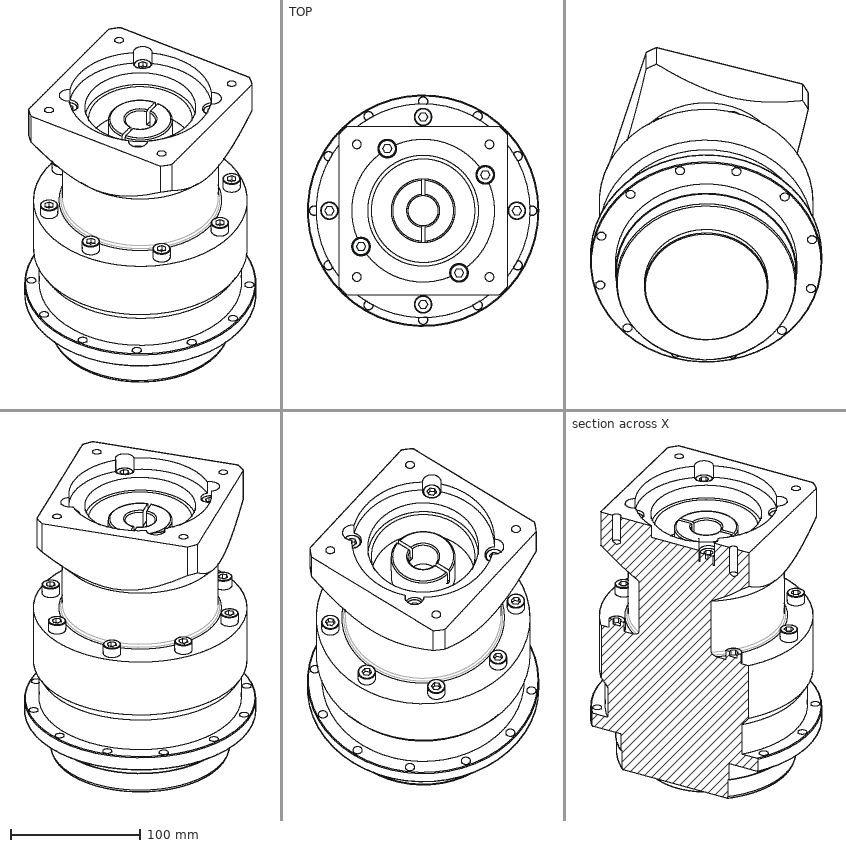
import cadquery as cq
import math

TOTAL_HEIGHT = 233.0
FOOT_RADIUS = 47.8
FOOT_EDGE = 0.7
PILOT_BASE = 6.0
PILOT_RADIUS = 69.5
PILOT_EDGE = 2.0
PILOT_EDGE_DEPTH = 0.7
SPIGOT_BASE = 23.3
SPIGOT_RADIUS = 70.1
FLANGE_BASE = 37.7
FLANGE_TOP = 49.9
FLANGE_RADIUS = 89.5
FLANGE_EDGE = 0.7
RING_GEAR_RADIUS = 78.3
RING_GEAR_TOP = 76.5
BODY_RADIUS = 82.7
BODY_BASE = 83.6
BODY_TOP = 131.2
NECK_FILLET_RADIUS = 2.3
NECK_FILLET_TOP = 134.0
NECK_FILLET_SWEEP = 60.0
NECK_SKIRT_RADIUS = 63.0
NECK_RADIUS = 60.3
NECK_TOP = 179.9

ADAPTER_SIDE = 130.5
ADAPTER_RADIUS = 87.8
ADAPTER_CONE_TOP = NECK_TOP + (ADAPTER_RADIUS - NECK_RADIUS)

RECESS_RADIUS = 55.2
RECESS_FLOOR = 222.7
BORE_RADIUS = 42.9
BORE_LEDGE = 211.3
WELL_RADIUS = 40.0
WELL_FLOOR = 185.5

HUB_RADIUS = 24.7
HUB_TOP = 211.0
HUB_EDGE = 1.2
HUB_BORE_RADIUS = 11.6
HUB_SLIT_WIDTH = 2.8
HUB_SLIT_DEPTH = 14.0

FLANGE_HOLE_COUNT = 12
FLANGE_HOLE_CIRCLE = 84.3
FLANGE_HOLE_RADIUS = 3.5
MOTOR_HOLE_SPACING = 102.5
MOTOR_HOLE_RADIUS = 3.38
MOTOR_HOLE_DEPTH = 23.3
DRILL_TIP_ANGLE = 118.0

HEAD_RADIUS = 6.8
HEAD_HEIGHT = 8.2
HEAD_EDGE = 0.5
SOCKET_ACROSS_CORNERS = 7.2
SOCKET_DEPTH = 4.2
BODY_SCREW_COUNT = 8
BODY_SCREW_CIRCLE = 72.5
ADAPTER_SCREW_COUNT = 4
ADAPTER_SCREW_CIRCLE = 55.5
ADAPTER_SCREW_START = 30.0
ADAPTER_SCREW_TOP = 221.0
SCREW_POCKET_RADIUS = 7.2


def disc(radius, base, top):
    """Upright cylinder on the main axis."""
    return cq.Workplane("XY").workplane(offset=base).circle(radius).extrude(top - base)


def turn(profile):
    """Solid of revolution about Z from (radius, height) points."""
    return cq.Workplane("XZ").polyline(profile).close().revolve(360, (0, 0), (0, 1))


def ring_points(count, radius, start=0.0):
    """Evenly spaced points on a circle, the first at the start angle in degrees."""
    angles = [math.radians(start + 360.0 * i / count) for i in range(count)]
    return [(radius * math.cos(a), radius * math.sin(a)) for a in angles]


def neck_fillet_point(angle):
    """Point on the concave fillet, at an angle in degrees below its top."""
    angle = math.radians(angle)
    return (
        NECK_RADIUS + NECK_FILLET_RADIUS * (1 - math.cos(angle)),
        NECK_FILLET_TOP - NECK_FILLET_RADIUS * math.sin(angle),
    )


def make_housing():
    outline_below_fillet = [
        (0, 0),
        (FOOT_RADIUS - FOOT_EDGE, 0),
        (FOOT_RADIUS, FOOT_EDGE),
        (FOOT_RADIUS, PILOT_BASE),
        (PILOT_RADIUS - PILOT_EDGE_DEPTH, PILOT_BASE),
        (PILOT_RADIUS, PILOT_BASE + PILOT_EDGE),
        (PILOT_RADIUS, SPIGOT_BASE),
        (SPIGOT_RADIUS, SPIGOT_BASE),
        (SPIGOT_RADIUS, FLANGE_BASE),
        (FLANGE_RADIUS - FLANGE_EDGE, FLANGE_BASE),
        (FLANGE_RADIUS, FLANGE_BASE + FLANGE_EDGE),
        (FLANGE_RADIUS, FLANGE_TOP - FLANGE_EDGE),
        (FLANGE_RADIUS - FLANGE_EDGE, FLANGE_TOP),
        (RING_GEAR_RADIUS, FLANGE_TOP),
        (RING_GEAR_RADIUS, RING_GEAR_TOP),
        (BODY_RADIUS, BODY_BASE),
        (BODY_RADIUS, BODY_TOP),
        (NECK_SKIRT_RADIUS, BODY_TOP),
        neck_fillet_point(NECK_FILLET_SWEEP),
    ]
    profile = (
        cq.Workplane("XZ")
        .polyline(outline_below_fillet)
        .threePointArc(neck_fillet_point(NECK_FILLET_SWEEP / 2), neck_fillet_point(0))
        .lineTo(NECK_RADIUS, NECK_TOP)
        .lineTo(0, NECK_TOP)
        .close()
    )
    return profile.revolve(360, (0, 0), (0, 1))


def make_adapter():
    blank = turn([
        (0, NECK_TOP),
        (NECK_RADIUS, NECK_TOP),
        (ADAPTER_RADIUS, ADAPTER_CONE_TOP),
        (ADAPTER_RADIUS, TOTAL_HEIGHT),
        (0, TOTAL_HEIGHT),
    ])
    square = cq.Workplane("XY").rect(ADAPTER_SIDE, ADAPTER_SIDE).extrude(TOTAL_HEIGHT)
    return blank.intersect(square)


def make_recess():
    recess = disc(RECESS_RADIUS, RECESS_FLOOR, TOTAL_HEIGHT)
    bore = disc(BORE_RADIUS, BORE_LEDGE, TOTAL_HEIGHT)
    well = disc(WELL_RADIUS, WELL_FLOOR, TOTAL_HEIGHT)
    return recess.union(bore).union(well)


def make_hub():
    hub = turn([
        (HUB_BORE_RADIUS, WELL_FLOOR),
        (HUB_RADIUS, WELL_FLOOR),
        (HUB_RADIUS, HUB_TOP - HUB_EDGE),
        (HUB_RADIUS - HUB_EDGE, HUB_TOP),
        (HUB_BORE_RADIUS + HUB_EDGE, HUB_TOP),
        (HUB_BORE_RADIUS, HUB_TOP - HUB_EDGE),
    ])
    slit = (
        cq.Workplane("XY")
        .workplane(offset=HUB_TOP - HUB_SLIT_DEPTH)
        .rect(HUB_SLIT_WIDTH, 2 * HUB_RADIUS)
        .extrude(HUB_SLIT_DEPTH)
    )
    return hub.cut(slit)


def make_screw_heads(points, base):
    heads = (
        cq.Workplane("XY")
        .workplane(offset=base)
        .pushPoints(points)
        .circle(HEAD_RADIUS)
        .extrude(HEAD_HEIGHT)
        .faces(">Z")
        .chamfer(HEAD_EDGE)
    )
    sockets = (
        cq.Workplane("XY")
        .workplane(offset=base + HEAD_HEIGHT - SOCKET_DEPTH)
        .pushPoints(points)
        .polygon(6, SOCKET_ACROSS_CORNERS)
        .extrude(SOCKET_DEPTH)
    )
    return heads.cut(sockets)


def make_flange_holes():
    points = ring_points(FLANGE_HOLE_COUNT, FLANGE_HOLE_CIRCLE)
    return (
        cq.Workplane("XY")
        .workplane(offset=FLANGE_BASE)
        .pushPoints(points)
        .circle(FLANGE_HOLE_RADIUS)
        .extrude(FLANGE_TOP - FLANGE_BASE)
    )


def make_motor_holes():
    """Blind drilled holes with conical tips at the adapter corners."""
    tip_height = MOTOR_HOLE_RADIUS / math.tan(math.radians(DRILL_TIP_ANGLE / 2))
    shoulder = TOTAL_HEIGHT - MOTOR_HOLE_DEPTH
    drill = turn([
        (0, shoulder - tip_height),
        (MOTOR_HOLE_RADIUS, shoulder),
        (MOTOR_HOLE_RADIUS, TOTAL_HEIGHT),
        (0, TOTAL_HEIGHT),
    ])
    return (
        cq.Workplane("XY")
        .rect(MOTOR_HOLE_SPACING, MOTOR_HOLE_SPACING, forConstruction=True)
        .vertices()
        .eachpoint(lambda place: drill.val().moved(place), combine=False)
    )


body_screws = ring_points(BODY_SCREW_COUNT, BODY_SCREW_CIRCLE)
adapter_screws = ring_points(ADAPTER_SCREW_COUNT, ADAPTER_SCREW_CIRCLE, ADAPTER_SCREW_START)
adapter_screw_seat = ADAPTER_SCREW_TOP - HEAD_HEIGHT
screw_pockets = (
    cq.Workplane("XY")
    .workplane(offset=adapter_screw_seat)
    .pushPoints(adapter_screws)
    .circle(SCREW_POCKET_RADIUS)
    .extrude(TOTAL_HEIGHT - adapter_screw_seat)
)

result = make_housing().union(make_adapter())
result = result.cut(make_recess()).cut(screw_pockets)
result = result.cut(make_flange_holes()).cut(make_motor_holes())
result = result.union(make_hub())
result = result.union(make_screw_heads(body_screws, BODY_TOP))
result = result.union(make_screw_heads(adapter_screws, adapter_screw_seat))